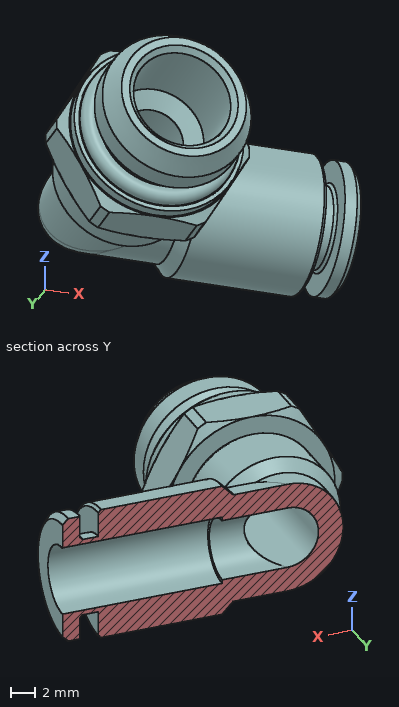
import cadquery as cq
import math


elbow_dia = 10.0
elbow_corner_radius = 1.5
sleeve_dia = 12.0
shoulder = (sleeve_dia - elbow_dia) / 2
sleeve_end_chamfer = 0.25
flow_bore_dia = 5.5

stud_length = 19.3
stud_shoulder_start = 2.0
hex_start = 7.8
hex_height = 4.0
hex_sides = 6
hex_flats = 15.0
hex_corner_dia = 16.82
hex_chamfer_angle = 30.0
collar_dia = 14.8
collar_height = 1.0
neck_dia = 10.8
neck_end = 14.3
thread_dia = 13.0
thread_lead_length = 1.83
thread_lead_angle = 30.0
stud_bore_dia = 8.5
stud_bore_chamfer = 0.5
stud_bore_cone_angle = 120.0

ring_outer_dia = 13.95
ring_bottom = 13.93

overall_length = 28.6
socket_length = overall_length - hex_corner_dia / 2
socket_shoulder_start = 4.85
sleeve_end = 17.0
collet_neck_dia = 7.1
collet_neck_chamfer = 0.25
flange_dia = 11.5
flange_start = 18.62
flange_chamfer = 0.51
tube_bore_dia = 6.15

hex_end = hex_start + hex_height
collar_end = hex_end + collar_height
ring_section_dia = (ring_outer_dia - neck_dia) / 2
ring_center = ring_bottom - ring_section_dia / 2
ring_mean_radius = (ring_outer_dia + neck_dia) / 4
ring_seat = ring_bottom - ring_section_dia
thread_start = neck_end + (thread_dia - neck_dia) / 2


def turned_stud(profile):
    """Revolve (radius, distance) points about the stud axis; distance runs along -Y."""
    points = [(radius, -distance) for radius, distance in profile]
    return cq.Workplane("XY").polyline(points).close().revolve(360, (0, 0, 0), (0, 1, 0))


def turned_socket(profile):
    """Revolve (radius, distance) points about the socket axis; distance runs along +X."""
    points = [(distance, radius) for radius, distance in profile]
    return cq.Workplane("XY").polyline(points).close().revolve(360, (0, 0, 0), (1, 0, 0))


def mitred_corner(diameter):
    """Common part of two crossing cylinders; its outer corner is a mitred bend."""
    along_x = cq.Workplane("YZ").circle(diameter / 2).extrude(diameter / 2, both=True)
    along_y = cq.Workplane("XZ").circle(diameter / 2).extrude(diameter / 2, both=True)
    return along_x.intersect(along_y)


def leg_profile(shoulder_start, end):
    """Profile of one elbow leg: slim at the bend, then a shoulder and the thicker sleeve."""
    radius = sleeve_dia / 2
    return [
        (0, 0),
        (elbow_dia / 2, 0),
        (elbow_dia / 2, shoulder_start),
        (radius, shoulder_start + shoulder),
        (radius, end - sleeve_end_chamfer),
        (radius - sleeve_end_chamfer, end),
        (0, end),
    ]


def elbow():
    """Both legs joined by the bend, whose outer mitre edges are rounded."""
    outer_side = cq.selectors.BoxSelector((-elbow_dia, 0, -elbow_dia), (0, elbow_dia, elbow_dia))
    bend = mitred_corner(elbow_dia).edges(outer_side).fillet(elbow_corner_radius)
    stud_leg = turned_stud(leg_profile(stud_shoulder_start, hex_start))
    socket_leg = turned_socket(leg_profile(socket_shoulder_start, sleeve_end))
    return stud_leg.union(socket_leg).union(bend)


def hexagon():
    """Hexagon with two opposite flats facing +Z and -Z and all corners turned down."""
    across_corners = hex_flats / math.cos(math.pi / hex_sides)
    hex_face = cq.Workplane("XZ", origin=(0, -hex_start, 0)).polygon(hex_sides, across_corners)
    prism = hex_face.extrude(hex_height)
    corner_radius = hex_corner_dia / 2
    face_radius = hex_flats / 2
    drop = (corner_radius - face_radius) * math.tan(math.radians(hex_chamfer_angle))
    turned_blank = turned_stud([
        (0, hex_start),
        (face_radius, hex_start),
        (corner_radius, hex_start + drop),
        (corner_radius, hex_end - drop),
        (face_radius, hex_end),
        (0, hex_end),
    ])
    return prism.intersect(turned_blank)


def threaded_stud():
    """Collar with a recess for the sealing ring, relief neck and thread."""
    lead_radius = thread_dia / 2 - thread_lead_length * math.tan(math.radians(thread_lead_angle))
    return turned_stud([
        (0, hex_end),
        (collar_dia / 2, hex_end),
        (collar_dia / 2, collar_end),
        (ring_outer_dia / 2, collar_end),
        (ring_outer_dia / 2, ring_seat),
        (neck_dia / 2, ring_seat),
        (neck_dia / 2, neck_end),
        (thread_dia / 2, thread_start),
        (thread_dia / 2, stud_length - thread_lead_length),
        (lead_radius, stud_length),
        (0, stud_length),
    ])


def collet():
    """Release collet: a narrow neck and a wide push flange."""
    neck_radius = collet_neck_dia / 2
    flange_radius = flange_dia / 2
    return turned_socket([
        (0, sleeve_end),
        (neck_radius, sleeve_end),
        (neck_radius, flange_start - collet_neck_chamfer),
        (neck_radius + collet_neck_chamfer, flange_start),
        (flange_radius, flange_start),
        (flange_radius, socket_length - flange_chamfer),
        (flange_radius - flange_chamfer, socket_length),
        (0, socket_length),
    ])


def flow_passage():
    """Stud bore, narrower bend through the elbow and tube bore, as one cutting shape."""
    flow_radius = flow_bore_dia / 2
    bore_radius = stud_bore_dia / 2
    tube_radius = tube_bore_dia / 2
    cone_depth = (bore_radius - flow_radius) / math.tan(math.radians(stud_bore_cone_angle / 2))
    tube_stop = socket_shoulder_start + shoulder
    stud_side = turned_stud([
        (0, 0),
        (flow_radius, 0),
        (flow_radius, hex_end - cone_depth),
        (bore_radius, hex_end),
        (bore_radius, stud_length - stud_bore_chamfer),
        (bore_radius + stud_bore_chamfer, stud_length),
        (0, stud_length),
    ])
    socket_side = turned_socket([
        (0, 0),
        (flow_radius, 0),
        (flow_radius, tube_stop),
        (tube_radius, tube_stop),
        (tube_radius, socket_length),
        (0, socket_length),
    ])
    return stud_side.union(socket_side).union(mitred_corner(flow_bore_dia))


def sealing_ring():
    """Round-section ring seated against the neck and the collar recess."""
    torus = cq.Solid.makeTorus(
        ring_mean_radius, ring_section_dia / 2, cq.Vector(0, -ring_center, 0), cq.Vector(0, 1, 0)
    )
    return cq.Workplane(obj=torus)


fitting = elbow().union(hexagon()).union(threaded_stud()).union(collet()).cut(flow_passage())
ring = sealing_ring()
result = cq.Compound.makeCompound([fitting.solids().val(), ring.val()])